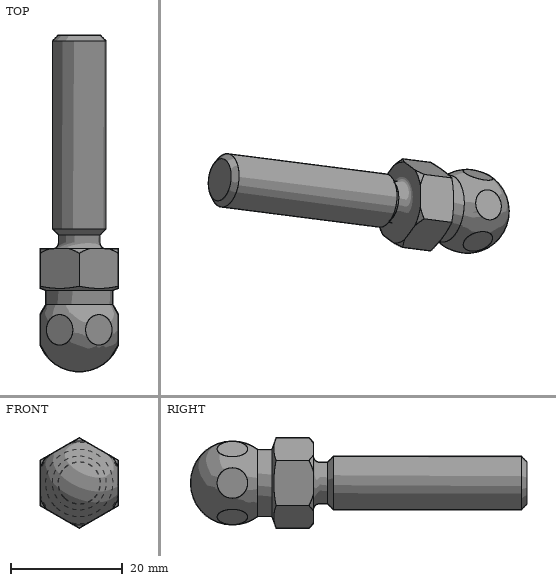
import cadquery as cq
import math

total_length = 60.1
across_flats = 14.0
ball_radius = 7.5
collar_radius = 6
hex_front = 7.05
hex_back = 14.5
hex_front_angle = 20
hex_back_radius = 7.3
neck_radius = 3.7
neck_fillet = 1.1
neck_end = 16.95
shank_radius = 4.8
end_chamfer = 1.0

shank_end = total_length - ball_radius
corner_radius = across_flats / math.sqrt(3)
hex_length = hex_back - hex_front
front_chamfer = (corner_radius - collar_radius) * math.tan(math.radians(hex_front_angle))
back_chamfer = corner_radius - hex_back_radius
neck_taper = shank_radius - neck_radius


def hex_bar(start, length):
    """Hexagonal bar along +Y with corners pointing up and down."""
    corners = [
        (
            corner_radius * math.sin(math.radians(60 * i)),
            corner_radius * math.cos(math.radians(60 * i)),
        )
        for i in range(6)
    ]
    plane = cq.Workplane("XZ", origin=(0, start, 0))
    return plane.polyline(corners).close().extrude(-length)


def revolve_about_y(profile):
    return profile.close().revolve(360, (0, 0, 0), (0, 1, 0))


def make_ball():
    """Ball cut by six small flats that line up with the hexagon faces."""
    sphere = cq.Workplane("XY").sphere(ball_radius)
    return sphere.intersect(hex_bar(-ball_radius, 2 * ball_radius))


def make_collar():
    return cq.Workplane("XZ").circle(collar_radius).extrude(-hex_front)


def make_hex():
    """Hexagon with its corners turned to a cone at both ends."""
    envelope = revolve_about_y(
        cq.Workplane("XY")
        .moveTo(0, hex_front)
        .lineTo(collar_radius, hex_front)
        .lineTo(corner_radius, hex_front + front_chamfer)
        .lineTo(corner_radius, hex_back - back_chamfer)
        .lineTo(hex_back_radius, hex_back)
        .lineTo(0, hex_back)
    )
    return hex_bar(hex_front, hex_length).intersect(envelope)


def make_shank():
    """Filleted neck, tapered step and plain shank with a chamfered end."""
    return revolve_about_y(
        cq.Workplane("XY")
        .moveTo(0, hex_back)
        .lineTo(neck_radius + neck_fillet, hex_back)
        .radiusArc((neck_radius, hex_back + neck_fillet), neck_fillet)
        .lineTo(neck_radius, neck_end)
        .lineTo(shank_radius, neck_end + neck_taper)
        .lineTo(shank_radius, shank_end - end_chamfer)
        .lineTo(shank_radius - end_chamfer, shank_end)
        .lineTo(0, shank_end)
    )


result = make_ball().union(make_collar()).union(make_hex()).union(make_shank())